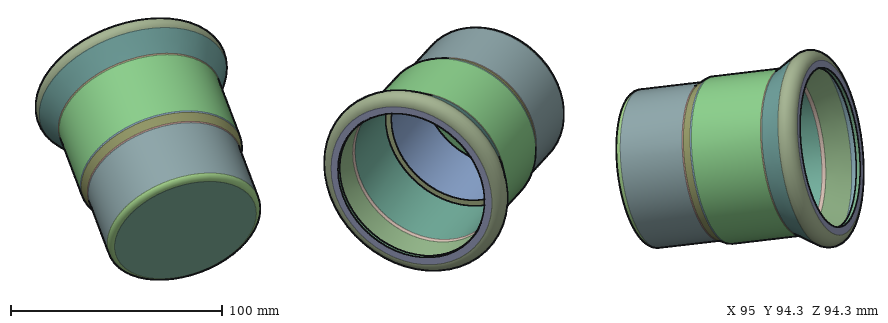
import cadquery as cq
import math

length = 95.0
wall = 2.0

bead_outer_radius = 94.3 / 2
bead_radius = 5.4
bead_center_radius = bead_outer_radius - bead_radius
mouth_radius = 76.1 / 2
flare_angle = math.radians(30)
flare_bend_radius = 1.5

barrel_radius = 80.1 / 2
shoulder_start = 55.3
shoulder_end = 60.1
shoulder_bend_radius = 1.9
spigot_radius = 37.9
spigot_wall = 2.85
end_round = 2.85
selection_margin = 0.1


def flared_outline(offset):
    """Start a profile with the bead, flare and barrel bend, set inward by offset."""
    bead = bead_radius - offset
    bend = flare_bend_radius + offset
    barrel = barrel_radius - offset
    sine = math.sin(flare_angle)
    cosine = math.cos(flare_angle)

    mid_angle = (math.pi / 2 + flare_angle) / 2
    arc_mid = (
        bead_radius - bead * math.cos(mid_angle),
        bead_center_radius + bead * math.sin(mid_angle),
    )
    flare_start = (bead_radius + bead * sine, bead_center_radius + bead * cosine)

    corner_x = flare_start[0] + (flare_start[1] - barrel) / math.tan(flare_angle)
    tangent = bend * math.tan(flare_angle / 2)
    bend_start = (corner_x - tangent * cosine, barrel + tangent * sine)
    bend_mid = (
        corner_x + tangent - bend * math.sin(flare_angle / 2),
        barrel + bend * (1 - math.cos(flare_angle / 2)),
    )
    bend_end = (corner_x + tangent, barrel)
    return (
        cq.Workplane("XY")
        .moveTo(offset, 0)
        .lineTo(offset, bead_center_radius)
        .threePointArc(arc_mid, flare_start)
        .lineTo(*bend_start)
        .threePointArc(bend_mid, bend_end)
    )


def revolve_about_x(outline):
    """Close a half profile along the X axis and revolve it fully."""
    return outline.close().revolve(360, (0, 0, 0), (1, 0, 0))


def bore(radius, start, end):
    """Cylinder along X between two stations."""
    return cq.Workplane("YZ").workplane(offset=start).circle(radius).extrude(end - start)


def make_body():
    """Solid outer form with softened shoulder corners and a rounded closed end."""
    body = revolve_about_x(
        flared_outline(0)
        .lineTo(shoulder_start, barrel_radius)
        .lineTo(shoulder_end, spigot_radius)
        .lineTo(length, spigot_radius)
        .lineTo(length, 0)
    )
    for station, radius in ((shoulder_start, barrel_radius), (shoulder_end, spigot_radius)):
        reach = radius + selection_margin
        corner = cq.selectors.BoxSelector(
            (station - selection_margin, -reach, -reach),
            (station + selection_margin, reach, reach),
            boundingbox=True,
        )
        body = body.edges(corner).fillet(shoulder_bend_radius)
    return body.faces(">X").edges().fillet(end_round)


def make_cavity():
    """Mouth opening, undercut bead groove with barrel, and blind spigot bore."""
    groove_and_barrel = revolve_about_x(
        flared_outline(wall)
        .lineTo(shoulder_start, barrel_radius - wall)
        .lineTo(shoulder_start, 0)
    )
    mouth = bore(mouth_radius, 0, shoulder_start)
    spigot_bore = bore(spigot_radius - spigot_wall, 0, length - spigot_wall)
    return groove_and_barrel.union(mouth).union(spigot_bore)


result = make_body().cut(make_cavity())